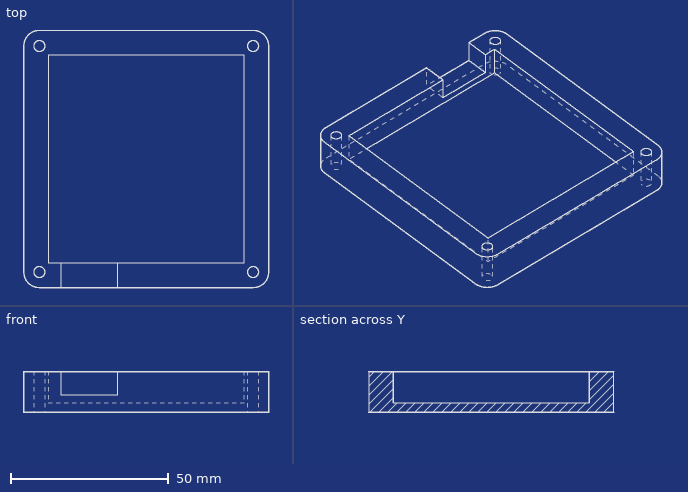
import cadquery as cq

length_x = 77.7
length_y = 81.6
height = 13.0
corner_radius = 5.0

wall = 7.8
floor_thickness = 3.0

hole_diameter = 3.4
hole_spacing_x = length_x - 2 * corner_radius
hole_spacing_y = length_y - 2 * corner_radius

notch_offset = 11.75
notch_width = 18.0
notch_depth = 7.5


def make_block():
    block = cq.Workplane("XY").rect(length_x, length_y).extrude(height)
    return block.edges("|Z").fillet(corner_radius)


def make_pocket():
    pocket = cq.Workplane("XY").workplane(offset=floor_thickness)
    return pocket.rect(length_x - 2 * wall, length_y - 2 * wall).extrude(height - floor_thickness)


def make_screw_holes():
    corners = cq.Workplane("XY").rect(hole_spacing_x, hole_spacing_y, forConstruction=True).vertices()
    return corners.circle(hole_diameter / 2).extrude(height)


def make_notch():
    notch = cq.Workplane("XY").box(notch_width, wall, notch_depth, centered=False)
    return notch.translate((notch_offset - length_x / 2, -length_y / 2, height - notch_depth))


result = make_block().cut(make_pocket()).cut(make_screw_holes()).cut(make_notch())